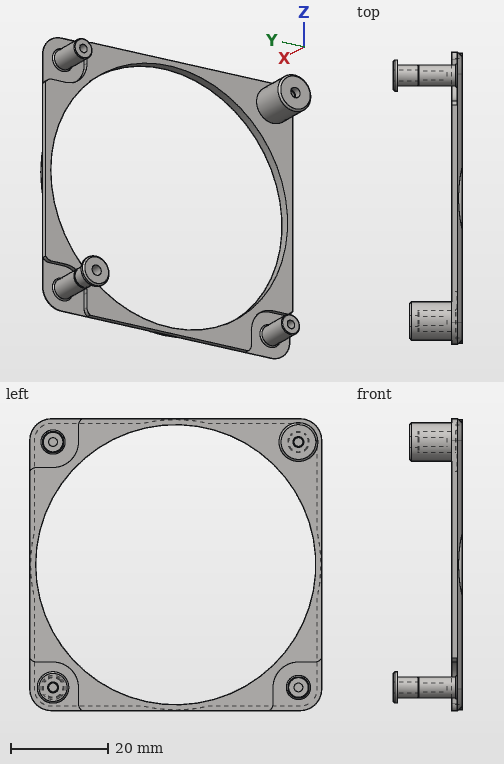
import cadquery as cq
import math

side = 60.0
half_side = side / 2
plate_thickness = 2.2
corner_radius = 4.5
edge_chamfer = 0.95
window_diameter = 57.5
ring_diameter = 59.65
front_x = -plate_thickness

post_offset = 25.2
pocket_depth = 1.1
pocket_radius = 5.2
flare_radius = 1.8
flare_reach = 1.5
floor_x = front_x + pocket_depth

post_diameter = 4.4
post_end_x = -9.1
post_tip_chamfer = 0.2
post_foot_flare = 0.3
screw_hole_diameter = 1.8
post_hole_depth = 6.0

clearance_diameter = 2.2
sleeve_diameter = 8.0
sleeve_end_x = -10.85
sleeve_chamfer = 0.4
plug_end_x = -14.2
plug_head_diameter = 6.5
plug_head_thickness = 0.9
plug_head_chamfer = 0.35

pocket_corners = [(1, 1), (1, -1), (-1, -1)]
plug_corner = (1, -1)
sleeve_corner = (-1, 1)


def rod(diameter, start_x, end_x):
    """Cylinder along X, centred on the X axis."""
    length = end_x - start_x
    return cq.Workplane("YZ", origin=(start_x, 0, 0)).circle(diameter / 2).extrude(length)


def at_corner(body, corner):
    """Move a body from the X axis to the post centre of a corner."""
    return body.translate((0, corner[0] * post_offset, corner[1] * post_offset))


def make_pocket(corner):
    """Pocket cutter for one corner, drawn at +Y +Z and mirrored into place."""
    wall = post_offset - pocket_radius
    flare_start = half_side - flare_reach
    flare_end = wall - flare_radius + math.sqrt(flare_radius**2 - flare_reach**2)
    arc_middle = post_offset - pocket_radius * math.sqrt(0.5)
    pocket = (
        cq.Workplane("YZ", origin=(front_x, 0, 0))
        .moveTo(half_side, half_side)
        .lineTo(flare_end, half_side)
        .radiusArc((wall, flare_start), flare_radius)
        .lineTo(wall, post_offset)
        .threePointArc((arc_middle, arc_middle), (post_offset, wall))
        .lineTo(flare_start, wall)
        .radiusArc((half_side, flare_end), flare_radius)
        .close()
        .extrude(pocket_depth)
    )
    if corner[0] < 0:
        pocket = pocket.mirror("XZ")
    if corner[1] < 0:
        pocket = pocket.mirror("XY")
    return pocket


def make_post(base_x):
    """Post with a chamfered tip, reaching from its base to the common tip plane."""
    return rod(post_diameter, post_end_x, base_x).faces("<X").chamfer(post_tip_chamfer)


def make_foot():
    """Conical flare where a post meets the pocket floor."""
    tip_radius = post_diameter / 2
    cone = cq.Solid.makeCone(
        tip_radius + post_foot_flare,
        tip_radius,
        post_foot_flare,
        pnt=cq.Vector(floor_x, 0, 0),
        dir=cq.Vector(-1, 0, 0),
    )
    return cq.Workplane(cone)


def make_frame():
    """Square plate with a round window, corner pockets and four posts."""
    plate = cq.Workplane("YZ", origin=(front_x, 0, 0)).rect(side, side).extrude(plate_thickness)
    plate = plate.edges("|X").fillet(corner_radius)
    plate = plate.faces(">X").edges().chamfer(edge_chamfer)
    frame = plate.union(rod(ring_diameter, front_x, 0))
    frame = frame.cut(rod(window_diameter, front_x, 0))

    for corner in pocket_corners:
        frame = frame.cut(make_pocket(corner))
        frame = frame.union(at_corner(make_post(floor_x).union(make_foot()), corner))

    frame = frame.union(at_corner(make_post(front_x), sleeve_corner))

    screw_hole = rod(screw_hole_diameter, post_end_x, post_end_x + post_hole_depth)
    for corner in [*pocket_corners, sleeve_corner]:
        frame = frame.cut(at_corner(screw_hole, corner))
    return frame


def make_sleeve():
    """Capped sleeve that fits over a post, with a screw hole through its cap."""
    sleeve = rod(sleeve_diameter, sleeve_end_x, front_x).faces("<X").chamfer(sleeve_chamfer)
    sleeve = sleeve.cut(rod(post_diameter, post_end_x, front_x))
    sleeve = sleeve.cut(rod(clearance_diameter, sleeve_end_x, post_end_x))
    return at_corner(sleeve, sleeve_corner)


def make_plug():
    """Headed plug seated on the end of a post."""
    head = rod(plug_head_diameter, plug_end_x, plug_end_x + plug_head_thickness)
    head = head.faces("<X").chamfer(plug_head_chamfer)
    shank = rod(post_diameter, plug_end_x + plug_head_thickness, post_end_x)
    plug = head.union(shank).cut(rod(clearance_diameter, plug_end_x, post_end_x))
    return at_corner(plug, plug_corner)


frame = make_frame()
sleeve = make_sleeve()
plug = make_plug()

result = cq.Compound.makeCompound([frame.val(), sleeve.val(), plug.val()])